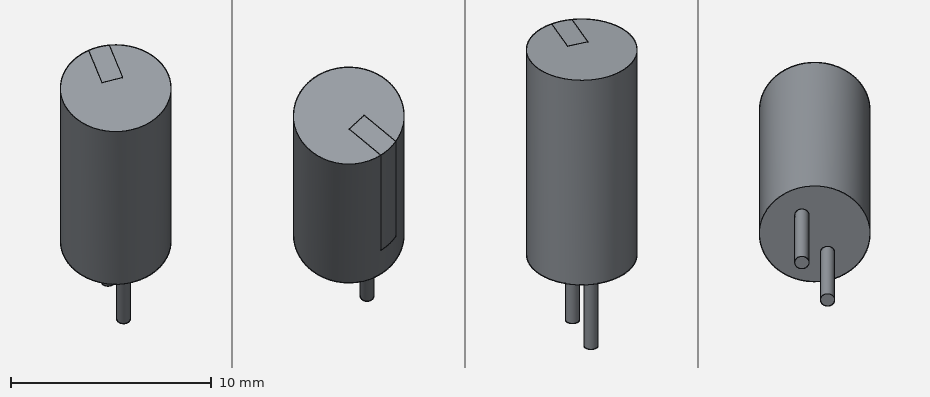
import cadquery as cq

total_height = 16.93
body_height = 12.24
body_diameter = 5.52
pin_length = total_height - body_height

pin_diameter = 0.71
pin_spacing = 2.5

strip_width = 1.08
strip_height = 9.8
strip_inner_x = -0.55


def make_strip():
    """Radial bar with a rounded outer face flush with the body."""
    bar_length = body_diameter / 2 + strip_inner_x
    bar = (
        cq.Workplane("XY")
        .box(bar_length, strip_width, strip_height, centered=(False, True, False))
        .translate((strip_inner_x - bar_length, 0, body_height - strip_height))
    )
    outer_envelope = cq.Workplane("XY").circle(body_diameter / 2).extrude(body_height)
    return bar.intersect(outer_envelope)


def make_body(strip):
    """Plain cylinder with a recess that fits the marking strip."""
    cylinder = cq.Workplane("XY").circle(body_diameter / 2).extrude(body_height)
    return cylinder.cut(strip)


def make_pin(x):
    """Round pin that hangs from the underside of the body."""
    return cq.Workplane("XY").center(x, 0).circle(pin_diameter / 2).extrude(-pin_length)


strip = make_strip()
body = make_body(strip)
pins = [make_pin(side * pin_spacing / 2) for side in (-1, 1)]

result = cq.Compound.makeCompound([body.val(), strip.val(), *[pin.val() for pin in pins]])